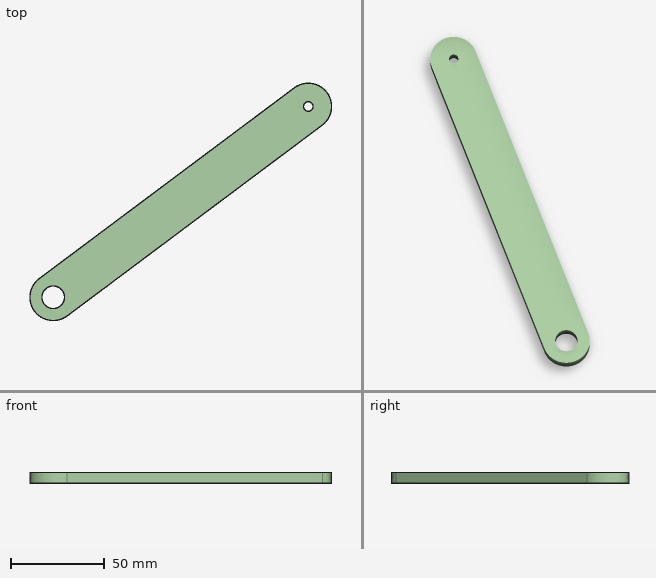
import cadquery as cq
import math

length_x = 161.1
length_y = 126.8
thickness = 6.0

link_width = 25.0
large_hole_diameter = 12.0
small_hole_diameter = 5.0

span_x = length_x - link_width
span_y = length_y - link_width
center_distance = math.hypot(span_x, span_y)
link_angle = math.degrees(math.atan2(span_y, span_x))


def cylinder_at(x, y, diameter):
    """Vertical cylinder through the full thickness of the link."""
    return cq.Workplane("XY").center(x, y).circle(diameter / 2).extrude(thickness)


link = (
    cq.Workplane("XY")
    .center(span_x / 2, span_y / 2)
    .slot2D(center_distance + link_width, link_width, link_angle)
    .extrude(thickness)
)

large_hole = cylinder_at(0, 0, large_hole_diameter)
small_hole = cylinder_at(span_x, span_y, small_hole_diameter)
result = link.cut(large_hole).cut(small_hole)